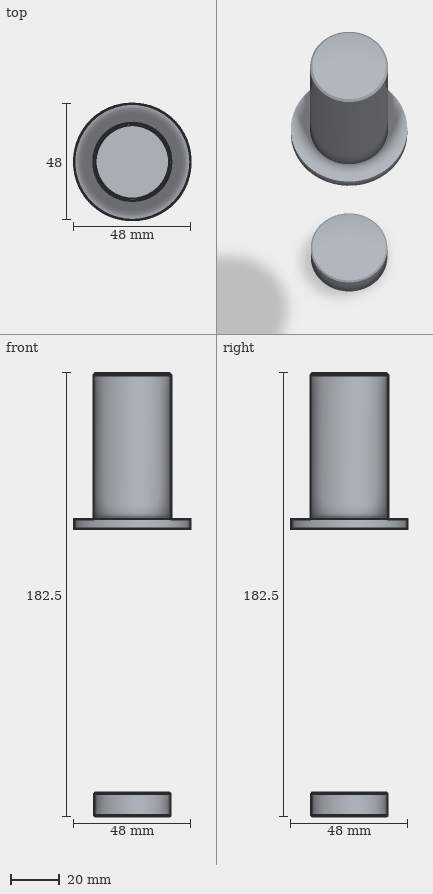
import cadquery as cq

overall_height = 182.5

flange_diameter = 48.0
flange_thickness = 4.0
shank_diameter = 32.1
pin_height = 64.0
shank_chamfer = 1.0

disc_diameter = 31.5
disc_thickness = 9.9
disc_chamfer = 0.64

pin_base_z = overall_height - pin_height


def make_flanged_pin():
    """Round flange with a solid shank, chamfered at its free end."""
    flange = cq.Workplane("XY").circle(flange_diameter / 2).extrude(flange_thickness)
    shank = (
        cq.Workplane("XY")
        .circle(shank_diameter / 2)
        .extrude(pin_height)
        .faces(">Z")
        .chamfer(shank_chamfer)
    )
    return flange.union(shank).translate((0, 0, pin_base_z))


def make_disc():
    """Plain disc, chamfered around both end faces."""
    return (
        cq.Workplane("XY")
        .circle(disc_diameter / 2)
        .extrude(disc_thickness)
        .faces("<Z or >Z")
        .chamfer(disc_chamfer)
    )


flanged_pin = make_flanged_pin()
disc = make_disc()

result = cq.Compound.makeCompound([flanged_pin.val(), disc.val()])